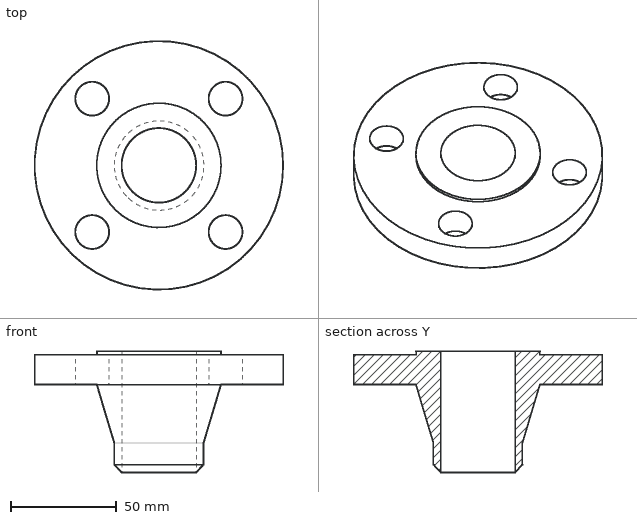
import cadquery as cq

flange_diameter = 117.4
total_height = 57.3

raised_face_diameter = 58.7
raised_face_height = 1.6
flange_thickness = 14.2

hub_diameter = 58.7
neck_diameter = 42.2
neck_height = 14.0
bevel_height = 3.8
bevel_width = 3.5

bore_diameter = 35.1
bolt_hole_diameter = 15.8
bolt_circle_diameter = 89.0
bolt_count = 4

flange_top = total_height - raised_face_height
flange_bottom = flange_top - flange_thickness


def flange_body():
    """Revolve the half profile, bored through, about the Z axis."""
    bore_radius = bore_diameter / 2
    neck_radius = neck_diameter / 2
    profile = [
        (bore_radius, 0),
        (neck_radius - bevel_width, 0),
        (neck_radius, bevel_height),
        (neck_radius, neck_height),
        (hub_diameter / 2, flange_bottom),
        (flange_diameter / 2, flange_bottom),
        (flange_diameter / 2, flange_top),
        (raised_face_diameter / 2, flange_top),
        (raised_face_diameter / 2, total_height),
        (bore_radius, total_height),
    ]
    return cq.Workplane("XZ").polyline(profile).close().revolve(360, (0, 0), (0, 1))


def bolt_holes():
    """Cylinders on the bolt circle, the first at 45 degrees from X."""
    return (
        cq.Workplane("XY")
        .workplane(offset=flange_bottom)
        .polarArray(bolt_circle_diameter / 2, 45, 360, bolt_count)
        .circle(bolt_hole_diameter / 2)
        .extrude(flange_thickness)
    )


result = flange_body().cut(bolt_holes())